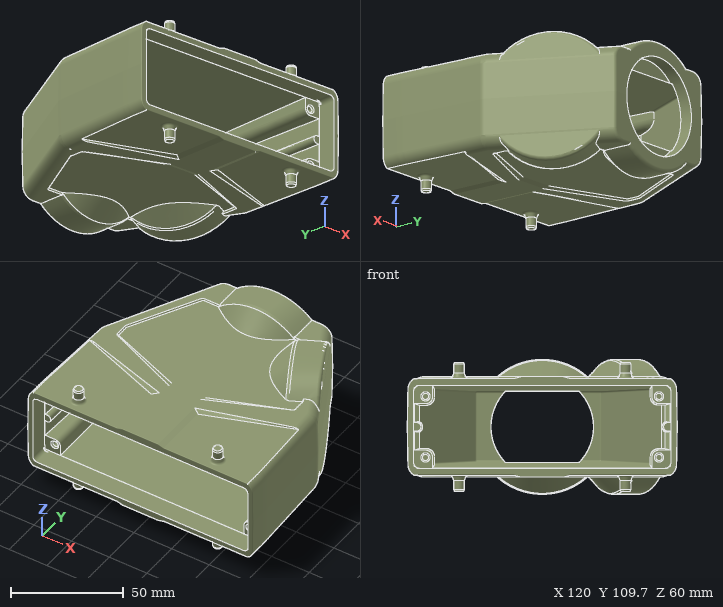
import cadquery as cq
import math

half_width = 60.0
length = 109.7
half_height = 22.3
draft = 1.0
base_length = 10.3
base_blend = 96.0
shoulder_x = 58.1
shoulder_y = 55.8
shoulder_radius = 6.0
end_half_width = 30.4
corner_radius = 5.8
end_fillet = 1.5
rim_fillet = 0.4

boss_radius = 30.0
boss_cylinder_length = 14.3
boss_end_setback = 0.4
boss_rim_fillet = 1.7
boss_back_step = 0.5
boss_cone_start = 15.7
boss_cone_radius = 12.0
boss_cone_slope = 1.15
cable_hole_diameter = 45.5

panel_z = 21.5
strip_half_width = 9.5
ramp_width = 3.0
ramp_drop = 1.9
front_panel_corner = (55.8, 43.7)
front_panel_inner_y = 29.8
centre_panel_corner = 1.2
centre_floor = [(9.1, 39.1), (46.7, 53.5), (46.7, 59.9), (28.3, 94.1)]
centre_mouth = [(8.5, 36.2), (47.2, 52.7), (47.2, 60.0), (28.8, 94.5)]

opening_half_width = 57.1
opening_half_height = 18.4
opening_depth = 9.6
opening_corner = 2.5
cavity_end_y = 103.5
cavity_end_half_height = 15.7
cavity_fillet = 1.0
cavity_front_x = 56.9
cavity_shoulder_x = 54.5
ledge_x = 52.9
left_wall = 3.6
right_wall = 6.5

post_x = 48.7
post_z = 10.3
post_draft = 0.9
post_corner = 3.0
screw_x = 51.8
screw_z = 13.5
screw_diameter = 2.8
screw_mouth_diameter = 4.1
screw_mouth_depth = 0.7
screw_depth = 18.0
rib_tip_x = 53.9
rib_radius = 1.9

pin_x = 37.0
pin_y = 6.4
pin_radius = 2.4
pin_tip_z = 28.7
pin_chamfer = 0.4
pin_chamfer_length = 0.8
collar_radius = 2.9
collar_z = 23.9
flare_radius = 4.3
flare_z = 22.5
flare_fillet = 1.5

slant_dx = shoulder_x - end_half_width
slant_dy = length - shoulder_y
slant_length = math.hypot(slant_dx, slant_dy)
slant_tilt = math.degrees(math.atan2(slant_dx, slant_dy))
slant_mid = ((shoulder_x + end_half_width) / 2, (length + shoulder_y) / 2)
margin = 12.0
overlap = 1.2

inner_plane = cq.Plane(origin=(0, opening_depth, 0), xDir=(1, 0, 0), normal=(0, 1, 0))


def both_faces(shape):
    """The shape together with its mirror image below the parting plane."""
    return shape.union(shape.mirror("XY"))


def along_slant(distance):
    """Point on the right slant, or on its extension, this far past the shoulder."""
    share = distance / slant_length
    return (shoulder_x - slant_dx * share, shoulder_y + slant_dy * share)


def make_body():
    """Closed block: drafted sides, blended shoulders and rounded long edges."""
    tip_x, tip_y = along_slant(slant_length + margin)
    lean = math.atan2(half_width - shoulder_x, shoulder_y - base_length)
    tangent = base_blend * math.tan(lean / 2)
    blend_start = (half_width, base_length - tangent)
    blend_middle = (
        half_width - base_blend * (1 - math.cos(lean / 2)),
        blend_start[1] + base_blend * math.sin(lean / 2),
    )
    blend_end = (half_width - tangent * math.sin(lean), base_length + tangent * math.cos(lean))

    outline = cq.Workplane("XY").moveTo(0, -margin).lineTo(half_width, -margin).lineTo(*blend_start)
    outline = outline.threePointArc(blend_middle, blend_end).lineTo(shoulder_x, shoulder_y)
    outline = outline.lineTo(tip_x, tip_y).lineTo(0, tip_y).mirrorY()
    upper = outline.extrude(half_height, taper=draft)
    picked = cq.selectors.BoxSelector(
        (-half_width, shoulder_y - overlap, overlap),
        (half_width, shoulder_y + overlap, half_height - overlap),
    )
    upper = upper.edges(picked).fillet(shoulder_radius)
    upper = upper.faces(">Z").edges("not(<Y or >Y)").fillet(corner_radius)

    setback = half_height * math.tan(math.radians(draft))
    side_profile = [(0, 0), (length, 0), (length - setback, half_height), (0, half_height)]
    keep = cq.Workplane("YZ").polyline(side_profile).close().extrude(half_width + margin, both=True)
    upper = upper.intersect(keep)
    upper = upper.faces(">Y").edges("not(<Z)").fillet(end_fillet)
    return both_faces(upper)


def make_boss():
    """Boss along +Y with its end face centre at the origin."""
    end = -boss_end_setback
    step_radius = boss_radius - boss_back_step
    tip = -boss_cone_start - boss_cone_slope * (step_radius - boss_cone_radius)
    arc = boss_rim_fillet * (1 - math.sqrt(0.5))
    return (
        cq.Workplane("XY")
        .moveTo(0, end)
        .lineTo(boss_radius - boss_rim_fillet, end)
        .threePointArc((boss_radius - arc, end - arc), (boss_radius, end - boss_rim_fillet))
        .lineTo(boss_radius, -boss_cylinder_length)
        .lineTo(step_radius, -boss_cone_start)
        .lineTo(boss_cone_radius, tip)
        .lineTo(0, tip)
        .close()
        .revolve(360, (0, 0, 0), (0, 1, 0))
    )


def panel_cutter(floor, mouth):
    """Recess with one outline at its floor and another at the flat face, ramped between them."""
    rise = half_height - panel_z
    top = [(2 * mx - fx, 2 * my - fy) for (fx, fy), (mx, my) in zip(floor, mouth)]
    return (
        cq.Workplane("XY", origin=(0, 0, panel_z))
        .polyline(floor)
        .close()
        .workplane(offset=2 * rise)
        .polyline(top)
        .close()
        .loft(ruled=True)
    )


def make_front_panels():
    """Recesses around the locking pins, leaving a raised strip in the middle."""
    corner_x, corner_y = front_panel_corner
    edge_slope = (corner_y - front_panel_inner_y) / (corner_x - strip_half_width)
    far_x = half_width + margin
    shared = [(far_x, -margin), (far_x, corner_y + edge_slope * (far_x - corner_x)), front_panel_corner]
    floor_x = strip_half_width + ramp_width
    mouth = [(strip_half_width, -margin), *shared, (strip_half_width, front_panel_inner_y)]
    floor = [(floor_x, -margin), *shared, (floor_x, front_panel_inner_y - ramp_drop)]
    right = panel_cutter(floor, mouth)
    return right.union(right.mirror("YZ"))


def make_centre_panel():
    """Recess with ramped edges in the middle of a flat face."""
    def both_sides(right_points):
        return right_points + [(-x, y) for x, y in reversed(right_points)]

    panel = panel_cutter(both_sides(centre_floor), both_sides(centre_mouth))
    side_corners = cq.selectors.BoxSelector(
        (-half_width, centre_floor[1][1] - overlap, panel_z), (half_width, length, 2 * half_height)
    )
    return panel.edges("not(#Z)").edges(side_corners).fillet(centre_panel_corner)


def make_cavity():
    """Hollow with a straight opening, drafted walls and a thicker wall behind the side boss."""
    opening = (
        cq.Workplane("XZ", origin=(0, opening_depth, 0))
        .rect(2 * opening_half_width, 2 * opening_half_height)
        .extrude(opening_depth + margin)
        .edges("|Y")
        .fillet(opening_corner)
    )

    def inner_end_x(wall):
        """Distance from the middle to where the inner slant meets the cavity end."""
        x_shift = wall / math.cos(math.radians(slant_tilt))
        return end_half_width + (length - cavity_end_y) * slant_dx / slant_dy - x_shift

    def inner_slant_y(wall, x):
        return cavity_end_y - (x - inner_end_x(wall)) * slant_dy / slant_dx

    start = opening_depth - overlap
    plan = [
        (-cavity_front_x, start),
        (cavity_front_x, start),
        (cavity_shoulder_x, inner_slant_y(right_wall, ledge_x)),
        (ledge_x, inner_slant_y(right_wall, ledge_x)),
        (inner_end_x(right_wall), cavity_end_y),
        (-inner_end_x(left_wall), cavity_end_y),
        (-cavity_shoulder_x, inner_slant_y(left_wall, cavity_shoulder_x)),
    ]
    section = [
        (start, -opening_half_height),
        (cavity_end_y, -cavity_end_half_height),
        (cavity_end_y, cavity_end_half_height),
        (start, opening_half_height),
    ]
    inner = cq.Workplane("XY").polyline(plan).close().extrude(2 * opening_half_height, both=True)
    inner = inner.intersect(cq.Workplane("YZ").polyline(section).close().extrude(half_width, both=True))
    slanted_part = cq.selectors.BoxSelector(
        (-half_width, shoulder_y + margin, -half_height), (half_width, length, half_height)
    )
    inner = inner.edges(slanted_part).fillet(cavity_fillet)
    return opening.union(inner.cut(make_posts()).cut(make_ribs()))


def drafted_along_y(sketch):
    """Extrude from the end of the opening to the cavity end, growing with the casting draft."""
    return sketch.extrude(cavity_end_y - opening_depth, taper=-post_draft)


def make_posts():
    """Four posts with countersunk screw holes in the corners of the cavity."""
    post = drafted_along_y(
        cq.Workplane(inner_plane)
        .moveTo(half_width, half_height)
        .lineTo(post_x, half_height)
        .lineTo(post_x, post_z + post_corner)
        .radiusArc((post_x + post_corner, post_z), -post_corner)
        .lineTo(half_width, post_z)
        .close()
    )
    screw_site = cq.Workplane(inner_plane).center(screw_x, screw_z)
    mouth = (
        screw_site.circle(screw_mouth_diameter / 2)
        .workplane(offset=screw_mouth_depth)
        .circle(screw_diameter / 2)
        .loft()
    )
    post = post.cut(screw_site.circle(screw_diameter / 2).extrude(screw_depth)).cut(mouth)
    side_pair = both_faces(post)
    return side_pair.union(side_pair.mirror("YZ"))


def make_ribs():
    """Half-round rib along the middle of each side wall."""
    axis_x = rib_tip_x + rib_radius
    rib = drafted_along_y(
        cq.Workplane(inner_plane)
        .moveTo(half_width, -rib_radius)
        .lineTo(axis_x, -rib_radius)
        .threePointArc((rib_tip_x, 0), (axis_x, rib_radius))
        .lineTo(half_width, rib_radius)
        .close()
    )
    return rib.union(rib.mirror("YZ"))


def make_pins():
    """Two locking pins on each flat face."""
    root_z = panel_z - overlap
    profile = (
        cq.Workplane("XZ")
        .moveTo(0, root_z)
        .lineTo(flare_radius, root_z)
        .lineTo(flare_radius, panel_z)
        .radiusArc((collar_radius, flare_z), flare_fillet)
        .lineTo(pin_radius, collar_z)
        .lineTo(pin_radius, pin_tip_z - pin_chamfer_length)
        .lineTo(pin_radius - pin_chamfer, pin_tip_z)
        .lineTo(0, pin_tip_z)
        .close()
    )
    pin = profile.revolve(360, (0, 0, 0), (0, 1, 0))
    right = pin.translate((pin_x, pin_y, 0))
    return both_faces(right.union(right.mirror("YZ")))


body = make_body()
body = body.cut(both_faces(make_front_panels())).cut(both_faces(make_centre_panel()))
body = body.faces("<Y").edges().fillet(rim_fillet)

end_boss = make_boss().translate((0, length, 0))
side_boss = make_boss().rotate((0, 0, 0), (0, 0, 1), slant_tilt - 90).translate((*slant_mid, 0))
cable_hole = (
    cq.Workplane("XZ", origin=(0, cavity_end_y - cavity_fillet, 0))
    .circle(cable_hole_diameter / 2)
    .extrude(-length)
)

solid_hood = body.union(end_boss).union(side_boss)
result = solid_hood.cut(make_cavity()).cut(cable_hole).union(make_pins())